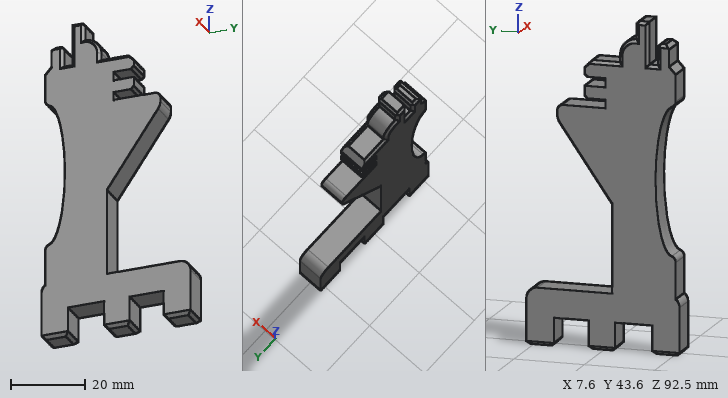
import cadquery as cq
import math

thickness = 7.6
depth = 43.6
height = 92.5

foot_height = 16.1
foot_back_radius = 3.1
toe_arc_radius = 2.8
toe_arc_bottom = 13.7
toe_arc_top = 15.9
gap_height = 8.05
gap_spans = [(7.8, 18.3), (25.8, 35.7)]
tooth_chamfer = 1.0

column_front = 1.1
column_back = 19.15
bite_center_y = 1.85
bite_center_z = 48.6
bite_half_height = 20.8
bite_depth = 5.0
lip_y = 2.2
lip_height = 1.7
lip_radius = 1.7

bracket_back = 34.8
bracket_top = 67.6
bracket_slope_top = 63.7
bracket_slope_bottom = 41.1
bracket_top_radius = 1.7
bracket_slope_radius = 3.7

prong_root = 21.1
prong_back = 27.0
lower_prong_bottom = 69.95
lower_prong_top = 73.5
upper_prong_bottom = 76.0
deck_height = 80.6
prong_chamfer = 0.8
deck_back_chamfer = 2.0

nose_top = 78.6
short_post_front = 3.0
short_post_back = 6.4
short_post_top = 86.6
tall_post_front = 8.8
tall_post_back = 12.5
hump_back = 17.2
hump_radius = hump_back - tall_post_back
hump_top = 87.35
short_post_front_chamfer = 1.2
post_back_chamfer = 0.8
head_bevel = 0.9

tolerance = 0.05


def bite_end_height():
    """Half height of the elliptical bite where it meets the lips."""
    across = (lip_y - bite_center_y) / bite_depth
    return bite_half_height * math.sqrt(1 - across**2)


def plate():
    """Extrude the side outline, with most corners still sharp."""
    half_bite = bite_end_height()
    bite_bottom = bite_center_z - half_bite
    bite_top = bite_center_z + half_bite
    outline = cq.Workplane("YZ").moveTo(0, 0)
    for start, end in gap_spans:
        outline = outline.lineTo(start, 0).lineTo(start, gap_height)
        outline = outline.lineTo(end, gap_height).lineTo(end, 0)
    outline = (
        outline.lineTo(depth, 0)
        .lineTo(depth, foot_height)
        .lineTo(column_back, foot_height)
        .lineTo(column_back, bracket_slope_bottom)
        .lineTo(bracket_back, bracket_slope_top)
        .lineTo(bracket_back, bracket_top)
        .lineTo(prong_root, bracket_top)
        .lineTo(prong_root, lower_prong_bottom)
        .lineTo(prong_back, lower_prong_bottom)
        .lineTo(prong_back, lower_prong_top)
        .lineTo(prong_root, lower_prong_top)
        .lineTo(prong_root, upper_prong_bottom)
        .lineTo(prong_back, upper_prong_bottom)
        .lineTo(prong_back, deck_height)
        .lineTo(hump_back, deck_height)
        .lineTo(hump_back, hump_top - hump_radius)
        .radiusArc((tall_post_back, hump_top), -hump_radius)
        .lineTo(tall_post_back, height)
        .lineTo(tall_post_front, height)
        .lineTo(tall_post_front, deck_height)
        .lineTo(short_post_back, deck_height)
        .lineTo(short_post_back, short_post_top)
        .lineTo(short_post_front, short_post_top)
        .lineTo(short_post_front, deck_height)
        .lineTo(column_front, nose_top)
        .lineTo(column_front, bite_top + lip_height)
        .radiusArc((lip_y, bite_top), -lip_radius)
    )
    end_angle = math.asin(half_bite / bite_half_height)
    steps = 16
    bite_points = []
    for step in range(1, steps + 1):
        angle = end_angle * (1 - 2 * step / steps)
        y = bite_center_y + bite_depth * math.cos(angle)
        z = bite_center_z + bite_half_height * math.sin(angle)
        bite_points.append((y, z))
    outline = (
        outline.spline(bite_points, includeCurrent=True)
        .radiusArc((column_front, bite_bottom - lip_height), -lip_radius)
        .lineTo(column_front, toe_arc_top)
        .radiusArc((0, toe_arc_bottom), -toe_arc_radius)
        .close()
    )
    return outline.extrude(thickness).translate((-thickness / 2, 0, 0))


def corner_edges(body, corners):
    """Edges running across the thickness at the given (Y, Z) corners."""
    edges = []
    for edge in body.edges("|X").vals():
        center = edge.Center()
        if any(math.hypot(center.y - y, center.z - z) < tolerance for y, z in corners):
            edges.append(edge)
    return body.newObject(edges)


def bevel_head(body):
    """Bevel both side edges of the deck, the hump and the posts, except along the nose."""
    edges = []
    for edge in body.faces("<X or >X").edges().vals():
        center = edge.Center()
        if center.z > deck_height - tolerance and center.y > short_post_front + tolerance:
            edges.append(edge)
    return body.newObject(edges).chamfer(head_bevel)


def cut_corner(body, y, z, size, toward_back):
    """Cut a 45 degree corner off an upper edge across the whole thickness."""
    inward = -size if toward_back else size
    wedge = (
        cq.Workplane("YZ")
        .polyline([(y, z), (y + inward, z), (y, z - size)])
        .close()
        .extrude(thickness / 2, both=True)
    )
    return body.cut(wedge)


result = plate()
result = corner_edges(result, [(depth, foot_height)]).fillet(foot_back_radius)
result = corner_edges(result, [(bracket_back, bracket_top)]).fillet(bracket_top_radius)
result = corner_edges(result, [(bracket_back, bracket_slope_top)]).fillet(bracket_slope_radius)
prong_corners = [(prong_back, lower_prong_bottom), (prong_back, upper_prong_bottom)]
result = corner_edges(result, prong_corners).chamfer(prong_chamfer)
result = bevel_head(result)
result = cut_corner(result, prong_back, deck_height, deck_back_chamfer, True)
result = cut_corner(result, tall_post_back, height, post_back_chamfer, True)
result = cut_corner(result, short_post_back, short_post_top, post_back_chamfer, True)
result = cut_corner(result, short_post_front, short_post_top, short_post_front_chamfer, False)
result = result.faces("<Z").edges().chamfer(tooth_chamfer)